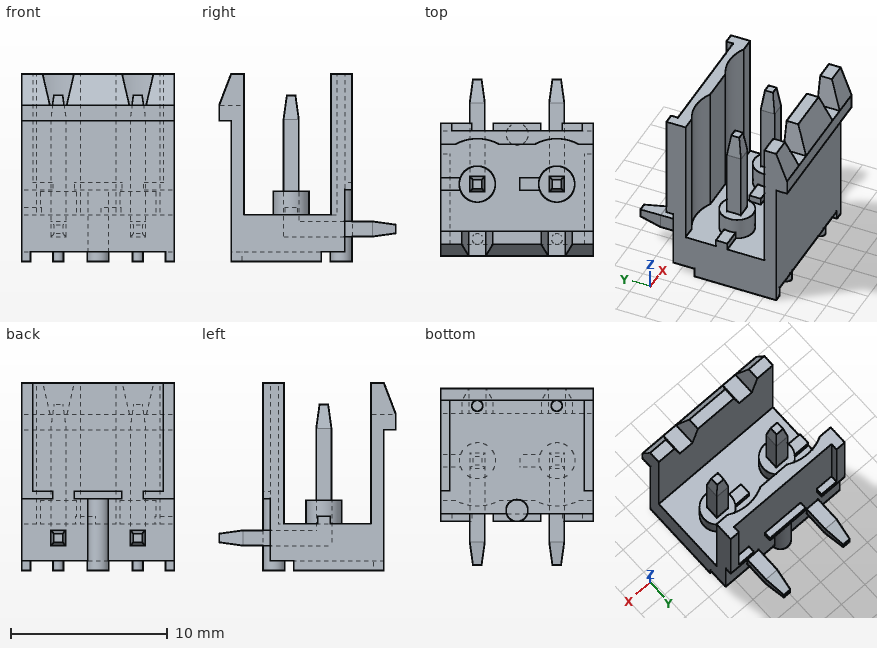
import cadquery as cq
import math


width = 9.75
height = 12
overall_depth = 11.3

pitch = 5.08
pin_y = 3.84
pin_xs = [-pitch / 2, pitch / 2]

floor_top = 3
underside = 0.62
front_wall = 0.83
cavity_back = 6.38
housing_back = 7.74
rear_recess = 0.48
wall_back = housing_back - rear_recess

hook_reach = 0.77
hook_bottom = 9
hook_edge = 10.0
notch_top_width = 2.0
notch_bottom_width = 1.08

hollow_radius = 2.9

skirt_width = 0.58
skirt_depth = 5.77

lip_width = 0.71
lip_bottom = 4.6
ledge_height = rear_recess
ledge_gap_width = 1.37
ledge_gap_x = 2.21

collar_diameter = 2.3
collar_top = 4.5
key_width = 0.8
key_reach = 2.36
key_top = 3.48

rear_post_diameter = 1.4
foot_diameter = 0.7

pin_width = 0.98
tip_width = 0.56
tip_length = 1.51
pin_top = 10.62
tail_z = 2.09
tail_end = overall_depth - hook_reach


def box(x_range, y_range, z_range):
    """Block between the given limits along each axis."""
    (x0, x1), (y0, y1), (z0, z1) = x_range, y_range, z_range
    return cq.Workplane("XY").box(x1 - x0, y1 - y0, z1 - z0, centered=False).translate((x0, y0, z0))


def full_width_box(y_range, z_range):
    """Block as wide as the housing."""
    return box((-width / 2, width / 2), y_range, z_range)


def cylinder(x, y, diameter, bottom, top):
    """Upright round post."""
    return cq.Workplane("XY", origin=(x, y, bottom)).circle(diameter / 2).extrude(top - bottom)


def make_shell():
    """Solid block with the latch hook, before the cavity is cut."""
    side_outline = [
        (0, underside),
        (wall_back, underside),
        (wall_back, height),
        (0, height),
        (-hook_reach, hook_edge),
        (-hook_reach, hook_bottom),
        (0, hook_bottom),
    ]
    return cq.Workplane("YZ", origin=(-width / 2, 0, 0)).polyline(side_outline).close().extrude(width)


def make_skirts():
    """Skirts along the two sides of the underside."""
    skirt = box((-width / 2, -width / 2 + skirt_width), (0, skirt_depth), (0, underside))
    return skirt.union(skirt.mirror("YZ"))


def make_lips():
    """Full-height lips on the two back corners."""
    lip = box((-width / 2, -width / 2 + lip_width), (wall_back, housing_back), (lip_bottom, height))
    return lip.union(lip.mirror("YZ"))


def make_ledges():
    """Ledge between the corner lips, broken by two gaps."""
    ledge_top = lip_bottom + ledge_height
    ledges = full_width_box((wall_back, housing_back), (lip_bottom, ledge_top))
    for gap_x in (-ledge_gap_x, ledge_gap_x):
        gap_sides = (gap_x - ledge_gap_width / 2, gap_x + ledge_gap_width / 2)
        ledges = ledges.cut(box(gap_sides, (wall_back, housing_back), (lip_bottom, ledge_top)))
    return ledges


def make_posts():
    """Rear post flush with the back, and two feet flush with the front."""
    posts = cylinder(0, housing_back - rear_post_diameter / 2, rear_post_diameter, 0, lip_bottom)
    for x in pin_xs:
        posts = posts.union(cylinder(x, foot_diameter / 2, foot_diameter, 0, underside))
    return posts


def make_cavity():
    """Space between the walls, open at both ends, with the rear wall hollows."""
    cavity = full_width_box((front_wall, cavity_back), (floor_top, height))
    half_chord = math.sqrt(hollow_radius**2 - (cavity_back - pin_y) ** 2)
    for x in pin_xs:
        hollow = (
            cq.Workplane("XY", origin=(0, 0, floor_top))
            .moveTo(x - half_chord, cavity_back)
            .threePointArc((x, pin_y + hollow_radius), (x + half_chord, cavity_back))
            .close()
            .extrude(height - floor_top)
        )
        cavity = cavity.union(hollow)
    return cavity


def make_notch(x):
    """Tapered notch through the front wall and the hook."""
    outline = [
        (x - notch_bottom_width / 2, hook_edge),
        (x + notch_bottom_width / 2, hook_edge),
        (x + notch_top_width / 2, height),
        (x - notch_top_width / 2, height),
    ]
    profile = cq.Workplane("XZ", origin=(0, front_wall, 0)).polyline(outline).close()
    return profile.extrude(front_wall + hook_reach)


def make_collar(x):
    """Round collar on the floor with a key on its -X side."""
    collar = cylinder(x, pin_y, collar_diameter, floor_top, collar_top)
    key_start = max(x - key_reach, -width / 2)
    key_sides = (pin_y - key_width / 2, pin_y + key_width / 2)
    return collar.union(box((key_start, x), key_sides, (floor_top, key_top)))


def make_tip():
    """Tapered pin end, pointing up from the origin."""
    return (
        cq.Workplane("XY")
        .rect(pin_width, pin_width)
        .workplane(offset=tip_length)
        .rect(tip_width, tip_width)
        .loft(ruled=True)
    )


def make_pin(x):
    """L-shaped pin: an upright contact and a tail that leaves through the back."""
    half = pin_width / 2
    sides = (x - half, x + half)
    contact_shoulder = pin_top - tip_length
    tail_shoulder = tail_end - tip_length
    contact = box(sides, (pin_y - half, pin_y + half), (tail_z - half, contact_shoulder))
    tail = box(sides, (pin_y - half, tail_shoulder), (tail_z - half, tail_z + half))
    contact_tip = make_tip().translate((x, pin_y, contact_shoulder))
    tail_tip = make_tip().rotate((0, 0, 0), (1, 0, 0), -90).translate((x, tail_shoulder, tail_z))
    return contact.union(tail).union(contact_tip).union(tail_tip)


def make_housing(pins):
    """Complete housing with a matching hole for each pin."""
    housing = make_shell().union(make_skirts()).union(make_lips()).union(make_ledges()).union(make_posts())
    housing = housing.cut(make_cavity())
    for x in pin_xs:
        housing = housing.cut(make_notch(x)).union(make_collar(x))
    for pin in pins:
        housing = housing.cut(pin)
    return housing


pins = [make_pin(x) for x in pin_xs]
housing = make_housing(pins)

result = cq.Compound.makeCompound([housing.val(), *[pin.val() for pin in pins]])